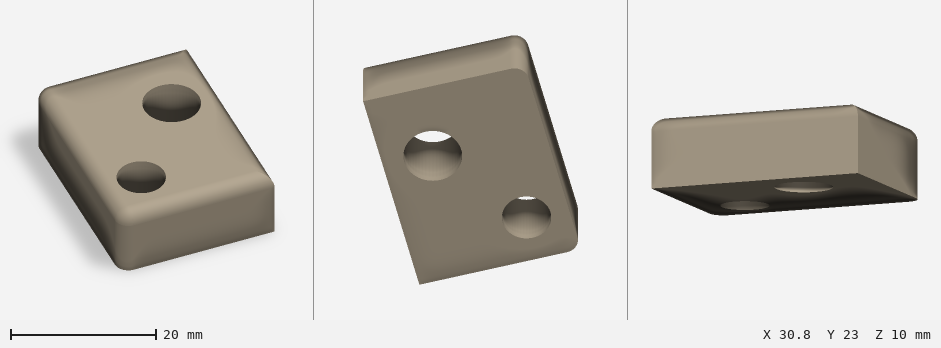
import cadquery as cq

length = 30.8
width = 23.0
height = 10.0
edge_radius = 2.0

large_hole_diameter = 8.1
large_hole_from_left = 11.0
large_hole_from_back = 7.05
small_hole_diameter = 6.8
small_hole_from_left = 23.95
small_hole_from_back = 17.05


def rounded_block():
    """Block with rounded front corners and a rounded top rim; back corners stay sharp."""
    block = cq.Workplane("XY").box(length, width, height, centered=(True, True, False))
    block = block.faces("<Y").edges("|Z").fillet(edge_radius)
    return block.faces(">Z").edges().fillet(edge_radius)


def hole_cutter(diameter, from_left, from_back):
    """Vertical cylinder through the full height of the block."""
    x = from_left - length / 2
    y = width / 2 - from_back
    return cq.Workplane("XY").center(x, y).circle(diameter / 2).extrude(height)


result = (
    rounded_block()
    .cut(hole_cutter(large_hole_diameter, large_hole_from_left, large_hole_from_back))
    .cut(hole_cutter(small_hole_diameter, small_hole_from_left, small_hole_from_back))
)